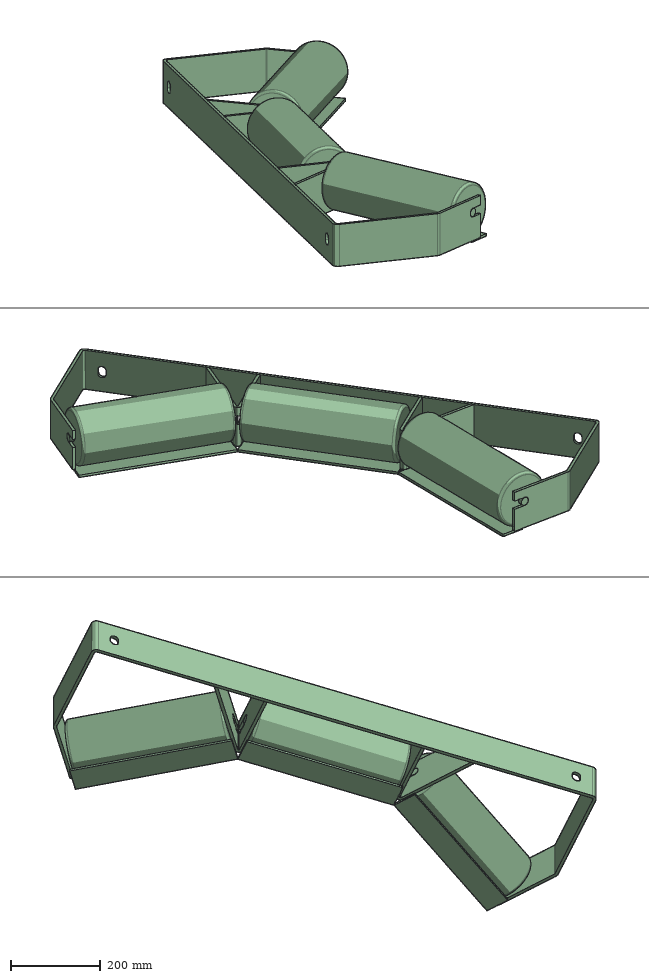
import cadquery as cq
import math


FRAME_LENGTH = 1210.0
SHEET = 7.0
SHEET_HEIGHT = 99.0
BEND_RADIUS = 12.0
SUPPORT_GAP = 370.0
WING_TIP = 29.0
BRACKET_TOP_Y = 168.0
SLOT_RADIUS = 10.3

HOLE_X = 554.0
HOLE_WIDTH = 19.0
HOLE_HEIGHT = 28.0

ROLLER_RADIUS = 67.0
ROLLER_LENGTH = 363.0
ROLLER_ROUNDING = 6.0
SHAFT_RADIUS = 10.0
TROUGH_ANGLE = 35.0
MIDDLE_ROLLER_Y = 125.0
SIDE_ROLLER_X = 374.0
SIDE_ROLLER_Y = 242.0

STRIP_LENGTH = 374.0
STRIP_WIDTH = 56.0
STRIP_OFFSET = 2.0
STRIP_THICKNESS = 6.0

HALF_LENGTH = FRAME_LENGTH / 2
SHEET_BOTTOM = -ROLLER_RADIUS
SHEET_MIDDLE = SHEET_BOTTOM + SHEET_HEIGHT / 2
SUPPORT_INNER = SUPPORT_GAP / 2
SUPPORT_OUTER = SUPPORT_INNER + SHEET
SHAFT_LENGTH = 2 * SUPPORT_OUTER
SINE = math.sin(math.radians(TROUGH_ANGLE))
COSINE = math.cos(math.radians(TROUGH_ANGLE))

LEFT_STATION = (-SIDE_ROLLER_X, SIDE_ROLLER_Y, -TROUGH_ANGLE)
MIDDLE_STATION = (0, MIDDLE_ROLLER_Y, 0)
RIGHT_STATION = (SIDE_ROLLER_X, SIDE_ROLLER_Y, TROUGH_ANGLE)
STATIONS = [LEFT_STATION, MIDDLE_STATION, RIGHT_STATION]


def at_station(body, station):
    """Move a body from its roller's own axes to its place in the idler."""
    x, y, turn = station
    return body.rotate((0, 0, 0), (0, 0, 1), turn).translate((x, y, 0))


def left_point(along, across):
    """Point measured along and across the axis of the left roller."""
    return (
        -SIDE_ROLLER_X + along * COSINE + across * SINE,
        SIDE_ROLLER_Y - along * SINE + across * COSINE,
    )


def left_plane_at_y(along, y):
    """Point at the given y on a plane square to the left roller's axis."""
    return left_point(along, (y - SIDE_ROLLER_Y + along * SINE) / COSINE)


def left_plane_at_x(along, x):
    """Point at the given x on a plane square to the left roller's axis."""
    return left_point(along, (x + SIDE_ROLLER_X - along * COSINE) / SINE)


def upright_sheet(outline):
    """Sheet-metal body standing on its edge, with the given plan outline."""
    base = cq.Workplane("XY").workplane(offset=SHEET_BOTTOM)
    return base.polyline(outline).close().extrude(SHEET_HEIGHT)


def round_bend(sheet, corner, radius):
    """Round the upright edge that stands at a corner of the plan outline."""
    edge = cq.selectors.NearestToPointSelector((*corner, SHEET_MIDDLE))
    return sheet.edges("|Z").edges(edge).fillet(radius)


def round_bar(radius, length):
    """Round bar along X, centred on the origin."""
    return cq.Workplane("YZ", origin=(-length / 2, 0, 0)).circle(radius).extrude(length)


def shaft_slot(station):
    """Cutter for the open slots, round at the bottom, that hold a shaft at both ends."""
    bottom = round_bar(SLOT_RADIUS, SHAFT_LENGTH)
    opening = cq.Workplane("XY").box(
        SHAFT_LENGTH, ROLLER_RADIUS, 2 * SLOT_RADIUS, centered=(True, False, True)
    )
    return at_station(bottom.union(opening), station)


def make_frame():
    """Long back strip whose ends are bent into two sides and two sloping wings."""
    side_inner_x = -HALF_LENGTH + SHEET
    outer_corner = (-HALF_LENGTH, 0)
    inner_corner = (side_inner_x, SHEET)
    outer_wing_bend = left_plane_at_x(-SUPPORT_OUTER, -HALF_LENGTH)
    inner_wing_bend = left_plane_at_x(-SUPPORT_INNER, side_inner_x)
    half = upright_sheet([
        (0, 0),
        outer_corner,
        outer_wing_bend,
        left_point(-SUPPORT_OUTER, WING_TIP),
        left_point(-SUPPORT_INNER, WING_TIP),
        inner_wing_bend,
        inner_corner,
        (0, SHEET),
    ])
    for corner in (outer_corner, outer_wing_bend):
        half = round_bend(half, corner, BEND_RADIUS)
    for corner in (inner_corner, inner_wing_bend):
        half = round_bend(half, corner, BEND_RADIUS - SHEET)

    hole = (
        cq.Workplane("XZ", origin=(-HOLE_X, 0, SHEET_MIDDLE))
        .slot2D(HOLE_HEIGHT, HOLE_WIDTH, 90)
        .extrude(-SHEET)
    )
    half = half.cut(hole).cut(shaft_slot(LEFT_STATION))
    return half.union(half.mirror("YZ"))


def make_left_bracket():
    """Strip with a straight leg beside the middle roller and a sloping leg beside the left one."""
    bridge_bottom_y = BRACKET_TOP_Y - SHEET
    straight_bend = (-SUPPORT_INNER, BRACKET_TOP_Y)
    sloping_bend = left_plane_at_y(SUPPORT_INNER, BRACKET_TOP_Y)
    bracket = upright_sheet([
        (-SUPPORT_INNER, SHEET),
        straight_bend,
        sloping_bend,
        left_plane_at_y(SUPPORT_INNER, SHEET),
        left_plane_at_y(SUPPORT_OUTER, SHEET),
        left_plane_at_y(SUPPORT_OUTER, bridge_bottom_y),
        (-SUPPORT_OUTER, bridge_bottom_y),
        (-SUPPORT_OUTER, SHEET),
    ])
    for corner in (straight_bend, sloping_bend):
        bracket = round_bend(bracket, corner, SHEET)
    return bracket.cut(shaft_slot(LEFT_STATION)).cut(shaft_slot(MIDDLE_STATION))


def make_roller(station):
    """Roller with rounded rims and a shaft stub at each end."""
    barrel = round_bar(ROLLER_RADIUS, ROLLER_LENGTH).faces("<X or >X").edges().fillet(ROLLER_ROUNDING)
    shaft = round_bar(SHAFT_RADIUS, SHAFT_LENGTH)
    return at_station(barrel.union(shaft), station)


def make_strip(station):
    """Flat strip just under a roller, on the far side of its axis from the frame's back."""
    strip = cq.Workplane("XY").box(
        STRIP_LENGTH, STRIP_WIDTH, STRIP_THICKNESS, centered=(True, False, False)
    )
    return at_station(strip.translate((0, STRIP_OFFSET, -ROLLER_RADIUS - STRIP_THICKNESS)), station)


frame = make_frame()
left_bracket = make_left_bracket()
brackets = [left_bracket, left_bracket.mirror("YZ")]
rollers = [make_roller(station) for station in STATIONS]
strips = [make_strip(station) for station in STATIONS]

bodies = [frame, *brackets, *rollers, *strips]
result = cq.Compound.makeCompound([body.solids().val() for body in bodies])